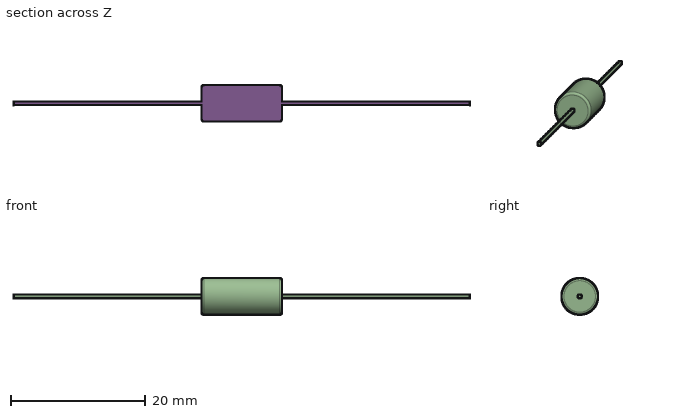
import cadquery as cq

overall_length = 68.0
body_length = 12.05
body_diameter = 5.5
edge_radius = 0.4
lead_diameter = 0.6


def cylinder_along_x(length, diameter):
    """Solid cylinder on the X axis, centred on the origin."""
    return cq.Workplane("YZ", origin=(-length / 2, 0, 0)).circle(diameter / 2).extrude(length)


body = cylinder_along_x(body_length, body_diameter).edges("%CIRCLE").fillet(edge_radius)

leads = cylinder_along_x(overall_length, lead_diameter)

result = body.union(leads)